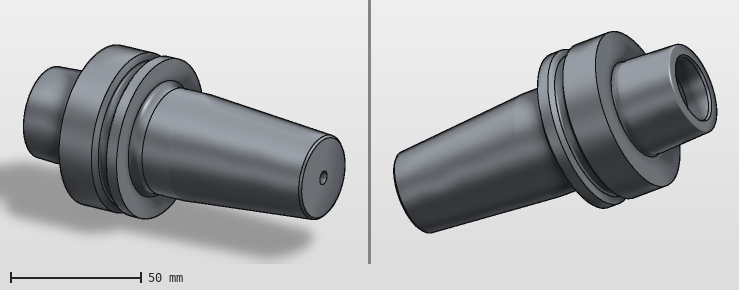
import cadquery as cq
import math

TOTAL_LENGTH = 125.0
FLANGE_BACK = 25.0
FLANGE_FRONT = 51.0
SPLIT_X = 56.0
SLEEVE_TAPER_START = 68.0

SHANK_TIP_RADIUS = 18.0
SHANK_TIP_ROUND = 0.9
SHANK_BASE_RADIUS = 19.0
SHANK_TAPER_END = 22.4
RELIEF_START = 23.5
RELIEF_RADIUS = 18.9
RELIEF_FILLET_RADIUS = 1.0
RELIEF_FILLET_SWEEP = 60.0
FACE_RECESS_RADIUS = 21.0
FACE_RECESS_DEPTH = 0.2

FLANGE_RADIUS = 31.5
GROOVE_BACK = 39.6
GROOVE_FRONT = 46.4
GROOVE_WALL_ANGLE = 30.0
GROOVE_WALL_RUN = 1.5
GROOVE_FLOOR_RADIUS = 27.6
GROOVE_FILLET = 0.9

NECK_RADIUS = 21.0
NECK_FILLET_RADIUS = 3.1
NECK_FILLET_SWEEP = 67.0
SLEEVE_TIP_RADIUS = 16.6
SLEEVE_TIP_CHAMFER = 0.9

BORE_RADIUS = 13.0
BORE_MOUTH_RADIUS = 13.5
BORE_LEAD_IN = 1.1
CLAMP_RECESS_RADIUS = 15.8
CLAMP_RECESS_START = 10.2
CLAMP_RECESS_ROUND = 1.2
BORE_DEPTH = 20.9
COUNTERSINK_RADIUS = 6.0
COOLANT_RADIUS = 2.6
COUNTERSINK_ANGLE = 118.0
COUNTERSINK_DEPTH = (COUNTERSINK_RADIUS - COOLANT_RADIUS) / math.tan(math.radians(COUNTERSINK_ANGLE / 2))


def revolve_about_x(profile):
    return profile.close().revolve(360, (0, 0, 0), (1, 0, 0))


def fillet_point(center_x, base_radius, fillet_radius, angle):
    """Point (x, radius) on a concave fillet, by its angle in degrees from the tangent point on the base."""
    angle = math.radians(angle)
    x = center_x + fillet_radius * math.sin(angle)
    radius = base_radius + fillet_radius * (1 - math.cos(angle))
    return (x, radius)


def relief_fillet_point(angle):
    end_x = FLANGE_BACK + FACE_RECESS_DEPTH
    center_x = end_x - RELIEF_FILLET_RADIUS * math.sin(math.radians(RELIEF_FILLET_SWEEP))
    return fillet_point(center_x, RELIEF_RADIUS, RELIEF_FILLET_RADIUS, angle)


def neck_fillet_point(angle):
    center_x = FLANGE_FRONT + NECK_FILLET_RADIUS * math.sin(math.radians(NECK_FILLET_SWEEP))
    return fillet_point(center_x, NECK_RADIUS, NECK_FILLET_RADIUS, -angle)


def holder_blank():
    """Taper shank, flange and neck, without groove or bores."""
    round_offset = SHANK_TIP_ROUND * math.sqrt(0.5)
    profile = (
        cq.Workplane("XZ")
        .moveTo(0, 0)
        .lineTo(0, SHANK_TIP_RADIUS - SHANK_TIP_ROUND)
        .threePointArc(
            (SHANK_TIP_ROUND - round_offset, SHANK_TIP_RADIUS - SHANK_TIP_ROUND + round_offset),
            (SHANK_TIP_ROUND, SHANK_TIP_RADIUS),
        )
        .lineTo(SHANK_TAPER_END, SHANK_BASE_RADIUS)
        .lineTo(RELIEF_START, RELIEF_RADIUS)
        .lineTo(*relief_fillet_point(0))
        .threePointArc(relief_fillet_point(RELIEF_FILLET_SWEEP / 2), relief_fillet_point(RELIEF_FILLET_SWEEP))
        .lineTo(FLANGE_BACK, FACE_RECESS_RADIUS)
        .lineTo(FLANGE_BACK, FLANGE_RADIUS)
        .lineTo(FLANGE_FRONT, FLANGE_RADIUS)
        .lineTo(*neck_fillet_point(NECK_FILLET_SWEEP))
        .threePointArc(neck_fillet_point(NECK_FILLET_SWEEP / 2), neck_fillet_point(0))
        .lineTo(SPLIT_X, NECK_RADIUS)
        .lineTo(SPLIT_X, 0)
    )
    return revolve_about_x(profile)


def gripper_groove():
    """Ring cut from the flange rim: sloped walls, then straight sides and a rounded floor."""
    slope_end_radius = FLANGE_RADIUS - GROOVE_WALL_RUN / math.tan(math.radians(GROOVE_WALL_ANGLE))
    floor_back = GROOVE_BACK + GROOVE_WALL_RUN
    floor_front = GROOVE_FRONT - GROOVE_WALL_RUN
    profile = (
        cq.Workplane("XZ")
        .moveTo(GROOVE_BACK, FLANGE_RADIUS)
        .lineTo(floor_back, slope_end_radius)
        .lineTo(floor_back, GROOVE_FLOOR_RADIUS)
        .lineTo(floor_front, GROOVE_FLOOR_RADIUS)
        .lineTo(floor_front, slope_end_radius)
        .lineTo(GROOVE_FRONT, FLANGE_RADIUS)
    )
    floor_edges = cq.selectors.RadiusNthSelector(0)
    return revolve_about_x(profile).edges(floor_edges).fillet(GROOVE_FILLET)


def holder_bore():
    """Shank bore with a lead-in, a wider clamping recess and a countersunk coolant hole."""
    recess_round_center = (BORE_DEPTH - CLAMP_RECESS_ROUND, CLAMP_RECESS_RADIUS - CLAMP_RECESS_ROUND)
    round_offset = CLAMP_RECESS_ROUND * math.sqrt(0.5)
    profile = (
        cq.Workplane("XZ")
        .moveTo(0, 0)
        .lineTo(0, BORE_MOUTH_RADIUS)
        .lineTo(BORE_LEAD_IN, BORE_RADIUS)
        .lineTo(CLAMP_RECESS_START, BORE_RADIUS)
        .lineTo(CLAMP_RECESS_START, CLAMP_RECESS_RADIUS)
        .lineTo(recess_round_center[0], CLAMP_RECESS_RADIUS)
        .threePointArc(
            (recess_round_center[0] + round_offset, recess_round_center[1] + round_offset),
            (BORE_DEPTH, recess_round_center[1]),
        )
        .lineTo(BORE_DEPTH, COUNTERSINK_RADIUS)
        .lineTo(BORE_DEPTH + COUNTERSINK_DEPTH, COOLANT_RADIUS)
        .lineTo(SPLIT_X, COOLANT_RADIUS)
        .lineTo(SPLIT_X, 0)
    )
    return revolve_about_x(profile)


def make_holder():
    return holder_blank().cut(gripper_groove()).cut(holder_bore())


def make_sleeve():
    """Tapered chuck sleeve, carrying the coolant hole on to the tip."""
    chamfer_start = TOTAL_LENGTH - SLEEVE_TIP_CHAMFER
    profile = (
        cq.Workplane("XZ")
        .moveTo(SPLIT_X, COOLANT_RADIUS)
        .lineTo(SPLIT_X, NECK_RADIUS)
        .lineTo(SLEEVE_TAPER_START, NECK_RADIUS)
        .lineTo(chamfer_start, SLEEVE_TIP_RADIUS)
        .lineTo(TOTAL_LENGTH, SLEEVE_TIP_RADIUS - SLEEVE_TIP_CHAMFER)
        .lineTo(TOTAL_LENGTH, COOLANT_RADIUS)
    )
    return revolve_about_x(profile)


holder = make_holder()
sleeve = make_sleeve()

result = cq.Compound.makeCompound([holder.val(), sleeve.val()])